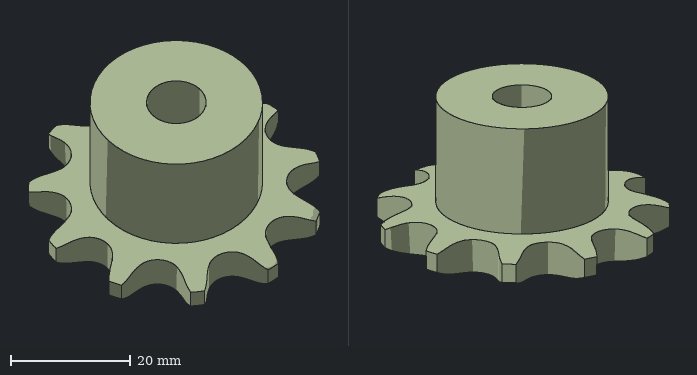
import cadquery as cq
import math


tooth_count = 11
chain_pitch = 12.7
roller_diameter = 7.9
seating_clearance = 0.075
overall_width = 49.4
widest_corner_angle = math.radians(5.4)
tip_radius = overall_width / 2 / math.cos(widest_corner_angle)

plate_thickness = 5.95
relief_drop = 1.3
relief_arc_radius = chain_pitch

total_height = 25.0
hub_diameter = 29.0
bore_diameter = 10.0

seating_oversize = 1.005
working_centre_ratio = 0.8
topping_centre_ratio = 1.4
seating_angle = math.radians(35 + 60 / tooth_count)
working_angle = math.radians(18 - 56 / tooth_count)

half_tooth_angle = math.pi / tooth_count
half_pitch = chain_pitch / 2
pitch_radius = half_pitch / math.sin(half_tooth_angle)


def offset(start, distance, angle):
    """Point at a distance from start, in the direction of an angle from +X."""
    return start[0] + distance * math.cos(angle), start[1] + distance * math.sin(angle)


def mirrored(point):
    return -point[0], point[1]


def make_blank():
    """Solid disc whose rim is thinned by an arc on both faces, tangent to each face."""
    relief_width = math.sqrt(relief_arc_radius**2 - (relief_arc_radius - relief_drop) ** 2)
    flat_radius = tip_radius - relief_width
    half_sweep = math.asin(relief_width / relief_arc_radius) / 2
    relief_mid_radius = flat_radius + relief_arc_radius * math.sin(half_sweep)
    relief_mid_drop = relief_arc_radius * (1 - math.cos(half_sweep))
    profile = (
        cq.Workplane("XZ")
        .lineTo(flat_radius, 0)
        .threePointArc((relief_mid_radius, relief_mid_drop), (tip_radius, relief_drop))
        .lineTo(tip_radius, plate_thickness - relief_drop)
        .threePointArc(
            (relief_mid_radius, plate_thickness - relief_mid_drop),
            (flat_radius, plate_thickness),
        )
        .lineTo(0, plate_thickness)
        .close()
    )
    return profile.revolve(360, (0, 0, 0), (0, 1, 0))


def make_tooth_gap():
    """Cutter for the gap on +Y, reaching to the pointed tips of its two half teeth."""
    seat_centre = (0, pitch_radius)
    seat_radius = (seating_oversize * roller_diameter + seating_clearance) / 2
    seat_bottom = (0, pitch_radius - seat_radius)
    seat_end = offset(seat_centre, seat_radius, -seating_angle)

    working_offset = working_centre_ratio * roller_diameter
    working_centre = offset(seat_centre, -working_offset, -seating_angle)
    working_radius = seat_radius + working_offset
    flat_angle = working_angle - seating_angle
    working_mid = offset(working_centre, working_radius, -seating_angle + working_angle / 2)
    working_end = offset(working_centre, working_radius, flat_angle)

    topping_offset = topping_centre_ratio * roller_diameter
    topping_centre = offset(seat_centre, topping_offset, -half_tooth_angle)
    topping_radius = (
        working_offset * math.cos(working_angle)
        + topping_offset * math.cos(half_tooth_angle + flat_angle)
        - working_radius
    )
    topping_start = offset(topping_centre, -topping_radius, flat_angle)
    tip_sweep = math.acos((topping_offset - half_pitch) / topping_radius)
    tip_angle = -half_tooth_angle - tip_sweep
    topping_mid = offset(topping_centre, -topping_radius, (flat_angle + tip_angle) / 2)
    pointed_tip = offset(topping_centre, -topping_radius, tip_angle)

    return (
        cq.Workplane("XY")
        .moveTo(*mirrored(seat_end))
        .threePointArc(seat_bottom, seat_end)
        .threePointArc(working_mid, working_end)
        .lineTo(*topping_start)
        .threePointArc(topping_mid, pointed_tip)
        .lineTo(*mirrored(pointed_tip))
        .threePointArc(mirrored(topping_mid), mirrored(topping_start))
        .lineTo(*mirrored(working_end))
        .threePointArc(mirrored(working_mid), mirrored(seat_end))
        .close()
        .extrude(plate_thickness)
    )


def make_toothed_plate():
    plate = make_blank()
    gap = make_tooth_gap()
    for index in range(tooth_count):
        plate = plate.cut(gap.rotate((0, 0, 0), (0, 0, 1), index * 360 / tooth_count))
    return plate


hub = cq.Workplane("XY").circle(hub_diameter / 2).extrude(total_height)
bore = cq.Workplane("XY").circle(bore_diameter / 2).extrude(total_height)
result = make_toothed_plate().union(hub).cut(bore)